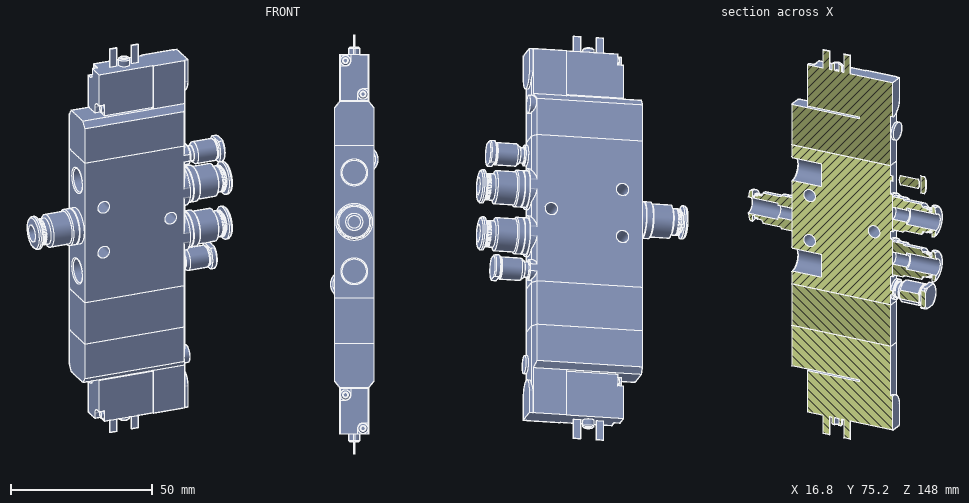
import cadquery as cq
import math


WIDTH = 14.0
FRONT_Y = -20.3
REAR_Y = 19.4
REAR_CHAMFER_X = 2.7
REAR_CHAMFER_Y = 1.5
REAR_SIDE_Y = REAR_Y - REAR_CHAMFER_Y
BOSS_FACE_Y = 20.3
BOSS_ROOT_Y = REAR_SIDE_Y - REAR_CHAMFER_Y

TOTAL_LENGTH = 148.0
PILOT_START_Z = 35.0
CAP_END_Z = 50.5
SPACER_LENGTH = 16.0
MAIN_BOTTOM_Z = -PILOT_START_Z + SPACER_LENGTH
PORT_CENTER_Z = (PILOT_START_Z + MAIN_BOTTOM_Z) / 2

WORK_PORT_SPACING = 17.3
WORK_PORT_OFFSET = WORK_PORT_SPACING / 2
EXHAUST_PORT_OFFSET = 17.5
SMALL_PORT_OFFSET_Z = 22.0
SMALL_PORT_OFFSET_X = 3.5
WORK_BOSS_DIAMETER = 14.5
SMALL_BOSS_DIAMETER = 7.4
EXHAUST_DIAMETER = 8.6
EXHAUST_MOUTH_DIAMETER = 9.5
EXHAUST_DEPTH = 11.8
MOUNT_HOLE_DIAMETER = 4.5
MOUNT_HOLE_FRONT_Y = -13.0
MOUNT_HOLE_REAR_Y = 12.7

CAP_CHAMFER_X = 1.8
CAP_CHAMFER_Z = 2.2
REAR_BLOCK_WIDTH = WIDTH - 2 * CAP_CHAMFER_X
COIL_WIDTH = 9.8
COIL_GAP = 0.5
COIL_TOP_Z = 67.0
COIL_FRONT_Y = -13.9
COIL_REAR_Y = 6.8
TAB_WIDTH = 10.0
TAB_BOTTOM_Z = 53.7
OVERRIDE_DIAMETER = 6.5
OVERRIDE_X = -3.5
OVERRIDE_Z = 46.9

SCREW_OFFSET_X = 3.1
SCREW_CENTER_Z = 59.0
SCREW_OFFSET_Z = 5.9
SCREW_NOTCH_RADIUS = 1.9
SCREW_NOTCH_DEPTH = 2.0
SCREW_HEAD_DIAMETER = 3.5
SCREW_TIP_DIAMETER = 2.0
SCREW_SOCKET_DIAMETER = 1.6
SCREW_HEAD_HEIGHT = 0.7

CONTACT_CENTER_Y = -2.2
CONTACT_OFFSET_Y = 4.1
CONTACT_WIDTH = 2.7
CONTACT_THICKNESS = 0.5
STUD_DIAMETER = 4.0
STUD_HEIGHT = 2.7
STUD_CHAMFER = 0.5
STUD_HOLE_DIAMETER = 1.6

LARGE_LENGTH = 17.3
COLLAR_DIAMETER = 13.0
COLLAR_GROOVE_DIAMETER = 12.5
COLLAR_GROOVE_START = 1.6
COLLAR_GROOVE_WIDTH = 0.1
COLLAR_END = 4.0
SLEEVE_DIAMETER = 11.8
SLEEVE_START = 4.5
SLEEVE_END = 11.4
NECK_START = 12.0
NECK_DIAMETER = 9.5
KNURL_START = 13.6
KNURL_END = 14.8
KNURL_COUNT = 24
KNURL_DEPTH = 0.5
RELEASE_STEM_DIAMETER = 7.4
RELEASE_FLANGE_START = 15.5
RELEASE_BEVEL_START = 16.3
RELEASE_BEVEL_END = 16.9
RELEASE_FACE_DIAMETER = 11.0
TUBE_BORE_DIAMETER = 6.0
TUBE_BORE_DEPTH = 11.8
FLOW_BORE_DIAMETER = 4.5

SMALL_LENGTH = 13.0
SMALL_FOOT_DIAMETER = 6.0
SMALL_FOOT_HEIGHT = 0.5
SMALL_NECK_DIAMETER = 5.5
SMALL_CONE_START = 1.8
SMALL_SLEEVE_START = 3.0
SMALL_SLEEVE_END = 10.5
SMALL_SLEEVE_DIAMETER = 8.0
SMALL_SLEEVE_BEVEL = 0.3
SMALL_STEM_DIAMETER = 7.0
SMALL_FLANGE_START = 11.1
SMALL_FLANGE_DIAMETER = 9.8
SMALL_FLANGE_BEVEL = 0.5


def y_cylinder(diameter, y_start, y_end, x, z):
    """Cylinder along Y between two Y positions."""
    start = cq.Vector(x, y_start, z)
    return cq.Workplane(
        cq.Solid.makeCylinder(diameter / 2, y_end - y_start, start, cq.Vector(0, 1, 0))
    )


def box_between(width, y_start, y_end, z_start, z_end, x=0.0):
    """Box centred on x, between two Y and two Z positions."""
    return cq.Workplane(
        cq.Solid.makeBox(
            width, y_end - y_start, z_end - z_start, cq.Vector(x - width / 2, y_start, z_start)
        )
    )


def block_section(z_start, z_end):
    """Length of the valve block, with its two rear edges chamfered."""
    half = WIDTH / 2
    rear_half = half - REAR_CHAMFER_X
    return (
        cq.Workplane("XY", origin=(0, 0, z_start))
        .polyline(
            [
                (-half, FRONT_Y),
                (half, FRONT_Y),
                (half, REAR_SIDE_Y),
                (rear_half, REAR_Y),
                (-rear_half, REAR_Y),
                (-half, REAR_SIDE_Y),
            ]
        )
        .close()
        .extrude(z_end - z_start)
    )


def port_boss(diameter, x, z):
    """Round rear boss under a fitting, cut off flush with the block sides."""
    block_sides = box_between(WIDTH, FRONT_Y, BOSS_FACE_Y, z - diameter, z + diameter)
    return y_cylinder(diameter, BOSS_ROOT_Y, BOSS_FACE_Y, x, z).intersect(block_sides)


def exhaust_port(z):
    """Blind bore in the front face, with a countersunk mouth."""
    countersink = (EXHAUST_MOUTH_DIAMETER - EXHAUST_DIAMETER) / 2
    mouth = cq.Workplane(
        cq.Solid.makeCone(
            EXHAUST_MOUTH_DIAMETER / 2,
            EXHAUST_DIAMETER / 2,
            countersink,
            cq.Vector(0, FRONT_Y, z),
            cq.Vector(0, 1, 0),
        )
    )
    return mouth.union(y_cylinder(EXHAUST_DIAMETER, FRONT_Y, FRONT_Y + EXHAUST_DEPTH, 0, z))


def main_body():
    """Middle section with the ports and the mounting holes."""
    body = block_section(MAIN_BOTTOM_Z, PILOT_START_Z)
    for side in (-1, 1):
        body = body.union(port_boss(WORK_BOSS_DIAMETER, 0, PORT_CENTER_Z + side * WORK_PORT_OFFSET))
        body = body.union(
            port_boss(
                SMALL_BOSS_DIAMETER,
                side * SMALL_PORT_OFFSET_X,
                PORT_CENTER_Z + side * SMALL_PORT_OFFSET_Z,
            )
        )
        body = body.cut(exhaust_port(PORT_CENTER_Z + side * EXHAUST_PORT_OFFSET))
    mounting_holes = (
        cq.Workplane("YZ")
        .pushPoints(
            [
                (MOUNT_HOLE_FRONT_Y, PORT_CENTER_Z + WORK_PORT_OFFSET),
                (MOUNT_HOLE_FRONT_Y, PORT_CENTER_Z - WORK_PORT_OFFSET),
                (MOUNT_HOLE_REAR_Y, PORT_CENTER_Z),
            ]
        )
        .circle(MOUNT_HOLE_DIAMETER / 2)
        .extrude(WIDTH, both=True)
    )
    return body.cut(mounting_holes)


def end_cap():
    """End section of the block, with chamfered sides and the manual override boss."""
    half = WIDTH / 2
    end_half = half - CAP_CHAMFER_X
    chamfer_z = CAP_END_Z - CAP_CHAMFER_Z
    side_outline = (
        cq.Workplane("XZ", origin=(0, REAR_Y, 0))
        .polyline(
            [
                (-half, PILOT_START_Z),
                (half, PILOT_START_Z),
                (half, chamfer_z),
                (end_half, CAP_END_Z),
                (-end_half, CAP_END_Z),
                (-half, chamfer_z),
            ]
        )
        .close()
        .extrude(REAR_Y - FRONT_Y)
    )
    override = y_cylinder(OVERRIDE_DIAMETER, BOSS_ROOT_Y, BOSS_FACE_Y, OVERRIDE_X, OVERRIDE_Z)
    return block_section(PILOT_START_Z, CAP_END_Z).intersect(side_outline).union(override)


def rear_block():
    """Block behind the coil, with a round-ended raised tab on its rear face."""
    envelope = box_between(REAR_BLOCK_WIDTH, COIL_REAR_Y, REAR_Y, CAP_END_Z, COIL_TOP_Z)
    block = block_section(CAP_END_Z, COIL_TOP_Z).intersect(envelope)
    tab_center_z = TAB_BOTTOM_Z + TAB_WIDTH / 2
    tab = y_cylinder(TAB_WIDTH, REAR_SIDE_Y, BOSS_FACE_Y, 0, tab_center_z)
    tab = tab.union(box_between(TAB_WIDTH, REAR_SIDE_Y, BOSS_FACE_Y, tab_center_z, COIL_TOP_Z))
    return block.union(tab)


def screw_notch(side):
    """Rounded recess in one front corner of the coil, open to its side and end."""
    x = side * SCREW_OFFSET_X
    z = SCREW_CENTER_Z - side * SCREW_OFFSET_Z
    reach = SCREW_NOTCH_RADIUS
    floor_y = COIL_FRONT_Y + SCREW_NOTCH_DEPTH
    notch = y_cylinder(2 * reach, COIL_FRONT_Y, floor_y, x, z)
    side_x = x + side * reach
    notch = notch.union(box_between(2 * reach, COIL_FRONT_Y, floor_y, z - reach, z + reach, side_x))
    end_z = z - side * reach
    return notch.union(
        box_between(2 * reach, COIL_FRONT_Y, floor_y, end_z - reach, end_z + reach, x)
    )


def screw_head(side):
    """Conical screw head with a round socket, on the notch floor."""
    floor_y = COIL_FRONT_Y + SCREW_NOTCH_DEPTH
    x = side * SCREW_OFFSET_X
    z = SCREW_CENTER_Z - side * SCREW_OFFSET_Z
    head = cq.Workplane(
        cq.Solid.makeCone(
            SCREW_HEAD_DIAMETER / 2,
            SCREW_TIP_DIAMETER / 2,
            SCREW_HEAD_HEIGHT,
            cq.Vector(x, floor_y, z),
            cq.Vector(0, -1, 0),
        )
    )
    return head.cut(y_cylinder(SCREW_SOCKET_DIAMETER, floor_y - SCREW_HEAD_HEIGHT, floor_y, x, z))


def stud():
    """Chamfered stud with a blind hole, on the coil end."""
    return (
        cq.Workplane("XY", origin=(0, CONTACT_CENTER_Y, COIL_TOP_Z))
        .circle(STUD_DIAMETER / 2)
        .extrude(STUD_HEIGHT)
        .faces(">Z")
        .chamfer(STUD_CHAMFER)
        .faces(">Z")
        .workplane()
        .hole(STUD_HOLE_DIAMETER, STUD_HEIGHT)
    )


def coil():
    """Coil housing with corner screws, two flat contacts and a central stud."""
    housing = box_between(COIL_WIDTH, COIL_FRONT_Y, COIL_REAR_Y, CAP_END_Z + COIL_GAP, COIL_TOP_Z)
    housing = housing.union(stud())
    for side in (-1, 1):
        housing = housing.cut(screw_notch(side)).union(screw_head(side))
        contact_y = CONTACT_CENTER_Y + side * CONTACT_OFFSET_Y
        contact = box_between(
            CONTACT_THICKNESS,
            contact_y - CONTACT_WIDTH / 2,
            contact_y + CONTACT_WIDTH / 2,
            COIL_TOP_Z,
            TOTAL_LENGTH / 2,
        )
        housing = housing.union(contact)
    return housing


def pilot_unit():
    """Upper pilot: end cap, rear block and coil in one piece."""
    return end_cap().union(rear_block()).union(coil())


def revolved_along_y(profile):
    """Body of revolution about Y from (diameter, distance) points, closed along the axis."""
    outline = [(0, profile[0][1])]
    outline += [(diameter / 2, distance) for diameter, distance in profile]
    outline.append((0, profile[-1][1]))
    return cq.Workplane("XY").polyline(outline).close().revolve(360, (0, 0), (0, 1))


def large_fitting():
    """Push-in fitting along +Y, with its seat at the origin."""
    groove_end = COLLAR_GROOVE_START + COLLAR_GROOVE_WIDTH
    body = revolved_along_y(
        [
            (COLLAR_DIAMETER, 0),
            (COLLAR_DIAMETER, COLLAR_GROOVE_START),
            (COLLAR_GROOVE_DIAMETER, COLLAR_GROOVE_START),
            (COLLAR_GROOVE_DIAMETER, groove_end),
            (COLLAR_DIAMETER, groove_end),
            (COLLAR_DIAMETER, COLLAR_END),
            (SLEEVE_DIAMETER, SLEEVE_START),
            (SLEEVE_DIAMETER, SLEEVE_END),
            (NECK_DIAMETER, NECK_START),
            (NECK_DIAMETER, KNURL_END),
            (RELEASE_STEM_DIAMETER, KNURL_END),
            (RELEASE_STEM_DIAMETER, RELEASE_FLANGE_START),
            (SLEEVE_DIAMETER, RELEASE_FLANGE_START),
            (SLEEVE_DIAMETER, RELEASE_BEVEL_START),
            (RELEASE_FACE_DIAMETER, RELEASE_BEVEL_END),
            (TUBE_BORE_DIAMETER, LARGE_LENGTH),
        ]
    )
    body = body.cut(y_cylinder(TUBE_BORE_DIAMETER, LARGE_LENGTH - TUBE_BORE_DEPTH, LARGE_LENGTH, 0, 0))
    body = body.cut(y_cylinder(FLOW_BORE_DIAMETER, 0, LARGE_LENGTH, 0, 0))
    return body.cut(knurl_grooves())


def knurl_grooves():
    """Ring of narrow grooves along Y around the knurled band."""
    groove_width = math.pi * NECK_DIAMETER / KNURL_COUNT / 2
    return (
        cq.Workplane("XZ", origin=(0, KNURL_START, 0))
        .polarArray(NECK_DIAMETER / 2, 0, 360, KNURL_COUNT)
        .rect(2 * KNURL_DEPTH, groove_width)
        .extrude(KNURL_START - KNURL_END)
    )


def small_fitting():
    """Small push-in fitting along +Y, with its seat at the origin."""
    body = revolved_along_y(
        [
            (SMALL_FOOT_DIAMETER, 0),
            (SMALL_FOOT_DIAMETER, SMALL_FOOT_HEIGHT),
            (SMALL_NECK_DIAMETER, SMALL_FOOT_HEIGHT),
            (SMALL_NECK_DIAMETER, SMALL_CONE_START),
            (SMALL_FOOT_DIAMETER, SMALL_CONE_START),
            (SMALL_SLEEVE_DIAMETER, SMALL_SLEEVE_START),
            (SMALL_SLEEVE_DIAMETER, SMALL_SLEEVE_END - SMALL_SLEEVE_BEVEL),
            (SMALL_SLEEVE_DIAMETER - 2 * SMALL_SLEEVE_BEVEL, SMALL_SLEEVE_END),
            (SMALL_STEM_DIAMETER, SMALL_SLEEVE_END),
            (SMALL_STEM_DIAMETER, SMALL_FLANGE_START),
            (SMALL_FLANGE_DIAMETER, SMALL_FLANGE_START),
            (SMALL_FLANGE_DIAMETER, SMALL_LENGTH - SMALL_FLANGE_BEVEL),
            (SMALL_FLANGE_DIAMETER - 2 * SMALL_FLANGE_BEVEL, SMALL_LENGTH),
        ]
    )
    flats = box_between(
        SMALL_FLANGE_DIAMETER, 0, SMALL_LENGTH, -SMALL_SLEEVE_DIAMETER / 2, SMALL_SLEEVE_DIAMETER / 2
    )
    return body.intersect(flats)


valve = main_body()
spacer = block_section(-PILOT_START_Z, MAIN_BOTTOM_Z)
upper_pilot = pilot_unit()
lower_pilot = upper_pilot.rotate((0, 0, 0), (0, 1, 0), 180)

supply_fitting = (
    large_fitting().rotate((0, 0, 0), (0, 0, 1), 180).translate((0, FRONT_Y, PORT_CENTER_Z))
)
work_fittings = []
small_fittings = []
for side in (-1, 1):
    work_place = (0, BOSS_FACE_Y, PORT_CENTER_Z + side * WORK_PORT_OFFSET)
    work_fittings.append(large_fitting().translate(work_place))
    small_place = (
        side * SMALL_PORT_OFFSET_X,
        BOSS_FACE_Y,
        PORT_CENTER_Z + side * SMALL_PORT_OFFSET_Z,
    )
    small_fittings.append(small_fitting().translate(small_place))

bodies = [
    valve,
    spacer,
    upper_pilot,
    lower_pilot,
    supply_fitting,
    *work_fittings,
    *small_fittings,
]
result = cq.Compound.makeCompound([body.solids().val() for body in bodies])